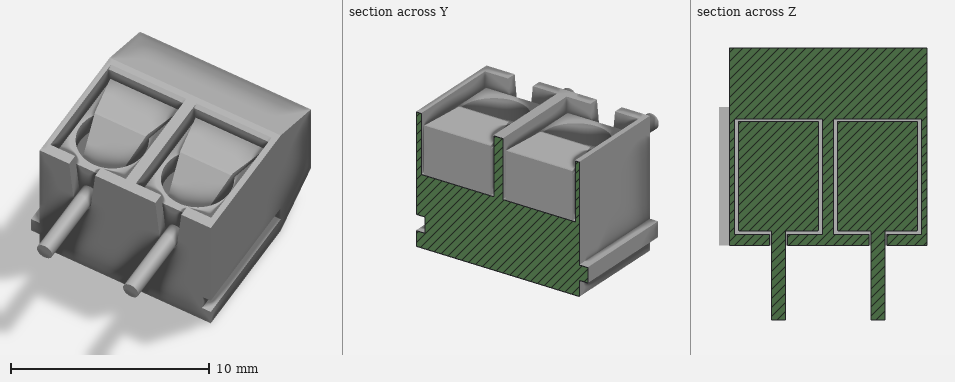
import cadquery as cq


body_width = 10.0
body_depth = 10.0
body_height = 7.6
sloped_depth = 3.01
top_slope_drop = 1.11
bottom_slope_rise = 1.8
shoulder_y = body_depth - sloped_depth

rail_width = 0.51
rail_bottom = 0.91
rail_height = 0.9

pin_diameter = 0.9
pin_length = 3.75
pin_z = body_height - 2.57
pin_spacing = 5.03
slot_top_width = 1.51
slot_round_radius = 0.51

pocket_spacing = 4.99
pocket_width = 4.4
pocket_front_y = 0.59
pocket_back_y = 6.4
pocket_depth = 3.44
pocket_floor_z = body_height - pocket_depth
back_chamfer_depth = 0.23
back_chamfer_drop = 0.12

block_width = 4.07
block_front_y = 0.74
block_back_y = 6.27
block_top_z = body_height - 0.81
block_corner_radius = 0.08

recess_diameter = 3.7
recess_y = 3.0
recess_depth = 1.17
recess_floor_z = block_top_z - recess_depth

wedge_shelf_width = 0.11
wedge_shelf_height = 0.16
wedge_front_y = 1.48
wedge_front_width = 1.98
ridge_back_y = 3.93
ridge_front_y = 3.8
ridge_back_z = body_height - 0.41
ridge_front_z = body_height - 0.45

pin_positions = [-pin_spacing / 2, pin_spacing / 2]
pocket_positions = [pin_positions[0], pin_positions[0] + pocket_spacing]


def box_between(x_range, y_range, z_range):
    """Axis-aligned box spanning the given (low, high) ranges."""
    ranges = (x_range, y_range, z_range)
    sizes = [high - low for low, high in ranges]
    corner = tuple(low for low, high in ranges)
    return cq.Workplane("XY").box(*sizes, centered=False).translate(corner)


def centered_range(center, width):
    return (center - width / 2, center + width / 2)


def side_profile(points, center_x, width):
    """Closed (y, z) outline extruded along X, centred on center_x."""
    solid = cq.Workplane("YZ").polyline(points).close().extrude(width / 2, both=True)
    return solid.translate((center_x, 0, 0))


def make_housing():
    outline = [
        (0, 0),
        (shoulder_y, 0),
        (body_depth, bottom_slope_rise),
        (body_depth, body_height - top_slope_drop),
        (shoulder_y, body_height),
        (0, body_height),
    ]
    housing = side_profile(outline, 0, body_width)
    y_range = (0, shoulder_y)
    z_range = (rail_bottom, rail_bottom + rail_height)
    left_x = -body_width / 2
    right_x = body_width / 2
    rail = box_between((left_x - rail_width, left_x), y_range, z_range)
    groove = box_between((right_x - rail_width, right_x), y_range, z_range)
    return housing.union(rail).cut(groove)


def make_pocket(x):
    """Open-topped pocket with a chamfer along the top of its back wall."""
    outline = [
        (pocket_front_y, pocket_floor_z),
        (pocket_back_y, pocket_floor_z),
        (pocket_back_y, body_height - back_chamfer_drop),
        (pocket_back_y + back_chamfer_depth, body_height),
        (pocket_front_y, body_height),
    ]
    return side_profile(outline, x, pocket_width)


def make_slot(x):
    """Tapered slot through the front wall with a round bottom around the pin axis."""
    half_top = slot_top_width / 2
    return (
        cq.Workplane("XZ")
        .moveTo(x - half_top, body_height)
        .lineTo(x - slot_round_radius, pin_z)
        .threePointArc((x, pin_z - slot_round_radius), (x + slot_round_radius, pin_z))
        .lineTo(x + half_top, body_height)
        .close()
        .extrude(-pocket_front_y)
    )


def make_wedge(x):
    shelf_z = block_top_z + wedge_shelf_height
    side = side_profile(
        [
            (block_back_y, recess_floor_z),
            (block_back_y, shelf_z),
            (block_back_y - wedge_shelf_width, shelf_z),
            (ridge_back_y, ridge_back_z),
            (ridge_front_y, ridge_front_z),
            (wedge_front_y, recess_floor_z),
        ],
        x,
        block_width,
    )
    plan = (
        cq.Workplane("XY")
        .polyline(
            [
                (x - block_width / 2, block_back_y),
                (x + block_width / 2, block_back_y),
                (x + wedge_front_width / 2, wedge_front_y),
                (x - wedge_front_width / 2, wedge_front_y),
            ]
        )
        .close()
        .extrude(body_height)
    )
    return side.intersect(plan)


def make_contact(x):
    block = box_between(
        centered_range(x, block_width),
        (block_front_y, block_back_y),
        (pocket_floor_z, block_top_z),
    )
    block = block.faces("<Y").edges("|Z").fillet(block_corner_radius)
    recess = (
        cq.Workplane("XY", origin=(x, recess_y, recess_floor_z))
        .circle(recess_diameter / 2)
        .extrude(recess_depth)
    )
    return block.cut(recess).union(make_wedge(x))


def make_pin(x):
    """Round pin running from inside the contact block out through the slot."""
    return (
        cq.Workplane("XZ", origin=(x, block_front_y, pin_z))
        .circle(pin_diameter / 2)
        .extrude(block_front_y + pin_length)
    )


result = make_housing()
for pocket_x, pin_x in zip(pocket_positions, pin_positions):
    result = result.cut(make_pocket(pocket_x)).cut(make_slot(pin_x))
    result = result.union(make_contact(pocket_x)).union(make_pin(pin_x))